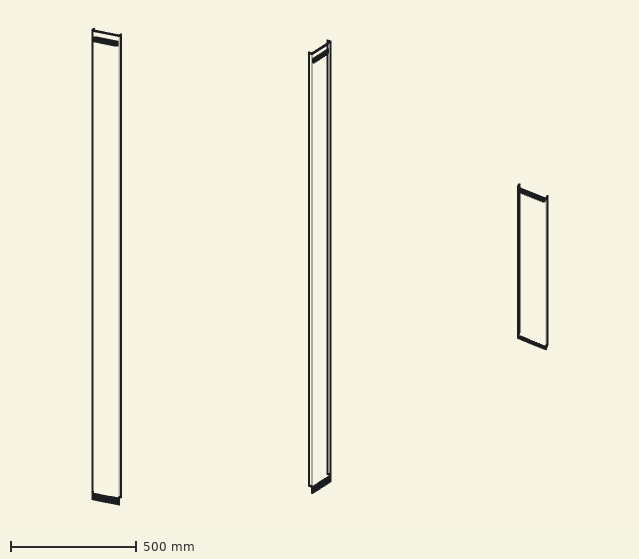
import cadquery as cq

length = 2000.0
width = 125.0
depth = 15.0
sheet = 1.0
bend_radius = 2.0

tongue_length = 28.0
tongue_width = 120.0

slot_length = 15.0
slot_width = 5.0
slot_count = 10
slot_pitch = 11.0
upper_slots_drop = 35.0
lower_slots_rise = 15.0


def rounded_bar(bar_width, radius):
    """Full-length bar with its two long edges on the -Y side rounded."""
    return (
        cq.Workplane("XY")
        .box(bar_width, depth, length, centered=(True, False, False))
        .edges("|Z and <Y")
        .fillet(radius)
    )


def channel():
    """Bent U-section running along Z, open toward +Y."""
    outer = rounded_bar(width, bend_radius)
    inner = rounded_bar(width - 2 * sheet, bend_radius - sheet)
    return outer.cut(inner.translate((0, sheet, 0)))


def tongue_relief():
    """Material removed beside the tongue: the flange ends and most of the bends."""
    block = cq.Workplane("XY").box(width, depth, tongue_length, centered=(True, False, False))
    kept = cq.Workplane("XY").box(tongue_width, depth, tongue_length, centered=(True, False, False))
    return block.cut(kept)


def slot_row(height):
    """Cutters for one row of upright slots through the web, centred at a height."""
    return (
        cq.Workplane("XZ", origin=(0, 0, height))
        .rarray(slot_pitch, 20, slot_count, 1)
        .slot2D(slot_length, slot_width, 90)
        .extrude(-2 * sheet)
    )


result = channel().cut(tongue_relief())
for row_height in (lower_slots_rise, length - upper_slots_drop):
    result = result.cut(slot_row(row_height))